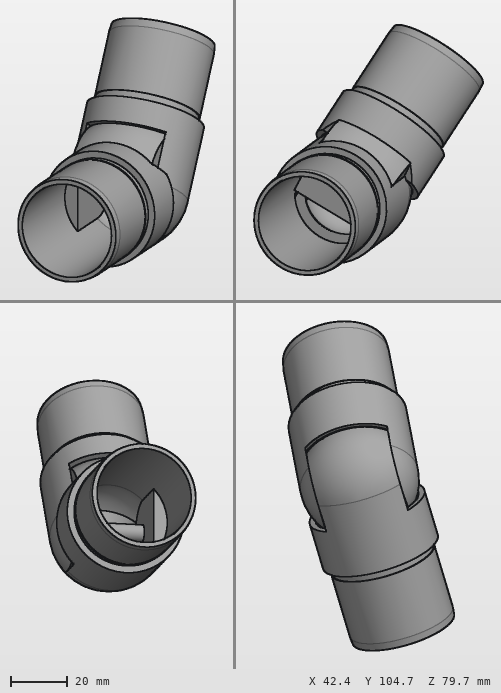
import cadquery as cq
import math

bend_angle = 57.0
collar_radius = 21.2
dome_radius = 26.2
tongue_half_width = 15.02
cavity_half_width = 12.1
pin_radius = 3.0
pin_half_length = 16.7
swing_radius = 21.6
oversize = 4 * collar_radius

tube_radius = 19.0
neck_radius = 18.7
bore_radius = 17.1
collar_end = 27.6
groove_end = 30.7
lead_in_start = 54.6
tube_end = 57.6

cheek_recess_station = 10.3
lower_bore_floor = 18.3
dome_base = math.sqrt(dome_radius**2 - collar_radius**2)

rear_stop = 8.7
front_stop = 18.2
stop_step = 5.2


def box(x_range, y_range, z_range):
    """Axis-aligned block between the given limits."""
    lows, highs = zip(x_range, y_range, z_range)
    sizes = [high - low for low, high in zip(lows, highs)]
    return cq.Workplane("XY").box(*sizes, centered=False).translate(lows)


def upper_frame(shape):
    """Turn a shape from local +Z onto the upper arm's axis; local +Y becomes its rear side."""
    return shape.rotate((0, 0, 0), (1, 0, 0), bend_angle - 90)


def lower_frame(shape):
    """Turn a shape from local +Z onto the lower arm's axis, -Y."""
    return shape.rotate((0, 0, 0), (1, 0, 0), 90)


def ball(radius):
    return cq.Workplane("XY").sphere(radius)


def rod(radius, start, end):
    return cq.Workplane("XY").workplane(offset=start).circle(radius).extrude(end - start)


def cross_rod(half_length):
    """Rod of the pin's radius lying on the pivot axis."""
    return cq.Workplane("YZ").circle(pin_radius).extrude(half_length, both=True)


def arm_blank():
    """Solid revolved arm: collar, grooved neck and tube with a tapered lead-in."""
    return (
        cq.Workplane("XZ")
        .moveTo(0, 0)
        .lineTo(collar_radius, 0)
        .lineTo(collar_radius, collar_end)
        .lineTo(neck_radius, collar_end)
        .lineTo(neck_radius, groove_end)
        .lineTo(tube_radius, groove_end)
        .lineTo(tube_radius, lead_in_start)
        .lineTo(neck_radius, tube_end)
        .lineTo(0, tube_end)
        .close()
        .revolve(360, (0, 0, 0), (0, 1, 0))
    )


whole = (-oversize, oversize)
tongue_band = (-tongue_half_width, tongue_half_width)
cavity_band = (-cavity_half_width, cavity_half_width)
cheek_bands = [(-oversize, -tongue_half_width), (tongue_half_width, oversize)]


def make_fork():
    """Upper arm, with two rounded cheeks joined by the pivot pin."""
    fork = arm_blank().union(ball(collar_radius))
    fork = fork.cut(rod(bore_radius, rear_stop, tube_end))

    fork = fork.cut(box(tongue_band, whole, (-oversize, rear_stop)))
    fork = fork.cut(box(tongue_band, (-oversize, stop_step), (-oversize, front_stop)))
    slot = box(tongue_band, whole, whole)
    fork = fork.cut(ball(swing_radius).intersect(slot))

    return upper_frame(fork).union(cross_rod(pin_half_length))


def make_dome():
    """Enlarged spherical cover on the inner side of the bend."""
    limits = box(tongue_band, (-dome_base, oversize), (0, oversize))
    stop = upper_frame(box(tongue_band, (-oversize, stop_step), (-oversize, front_stop)))
    return ball(dome_radius).intersect(limits).intersect(stop)


def make_tongue_arm():
    """Lower arm, with a hollow tongue that turns between the fork cheeks."""
    arm = lower_frame(arm_blank())

    cheek_sweep = ball(swing_radius).union(upper_frame(rod(swing_radius, 0, collar_end)))
    for band in cheek_bands:
        arm = arm.cut(box(band, (-cheek_recess_station, oversize), whole))
        relief = box(band, (-dome_base, oversize), (0, oversize))
        relief_wedge = box(band, whole, (0, oversize)).rotate((0, 0, 0), (1, 0, 0), -45)
        arm = arm.cut(relief.intersect(relief_wedge))
        arm = arm.cut(cheek_sweep.intersect(box(band, whole, whole)))

    tongue = ball(collar_radius).intersect(box(tongue_band, whole, whole))
    arm = arm.union(tongue)
    beyond_stop = upper_frame(box(tongue_band, whole, (rear_stop, oversize)))
    behind_collar = box(tongue_band, (-dome_base, oversize), whole)
    arm = arm.cut(beyond_stop.intersect(behind_collar))
    arm = arm.union(make_dome())

    arm = arm.cut(lower_frame(rod(bore_radius, lower_bore_floor, tube_end)))
    cavity = lower_frame(rod(bore_radius, 0, lower_bore_floor)).union(ball(bore_radius))
    arm = arm.cut(cavity.intersect(box(cavity_band, whole, whole)))
    return arm.cut(cross_rod(tongue_half_width))


fork = make_fork()
tongue_arm = make_tongue_arm()

result = cq.Compound.makeCompound([fork.solids().val(), tongue_arm.solids().val()])